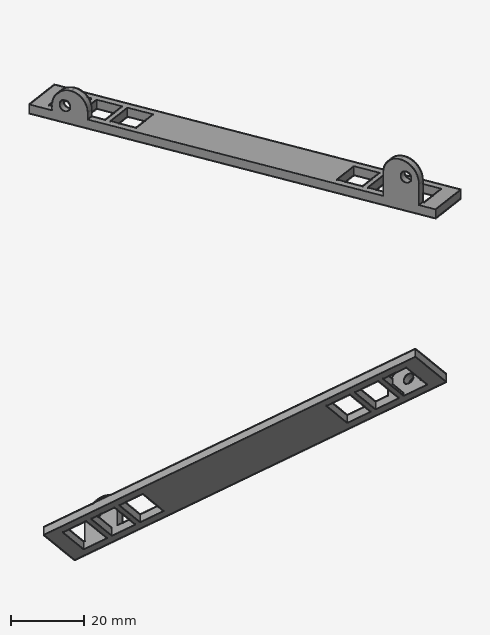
import cadquery as cq

length = 128.0
width = 14.0
plate_thickness = 2.8

window_count = 3
window_length = 8.0
window_pitch = 9.7
window_end_margin = 4.9
window_side_margin = 2.3
window_width = width - 2 * window_side_margin

lug_thickness = 2.3
outer_radius = 6.0
inner_radius = 5.2
pin_hole_diameter = 3.3
pin_hole_offset = 1.9
pin_hole_depth_below_top = 5.0

left_lug_x = 13.2
left_lug_height = 10.2
right_lug_x = 116.7
right_lug_height = 15.4

clearance_radius = 4.6
clearance_depth = 4.9


def y_cylinder(x, z, radius, y_start, depth):
    """Cylinder along +Y starting at y_start."""
    return cq.Workplane("XZ", origin=(x, y_start, z)).circle(radius).extrude(-depth)


def make_lug(apex_x, height, outward):
    """Lug with its wider rounded corner towards outward (-1 is -X, +1 is +X)."""
    outer_x = apex_x + outward * outer_radius
    inner_x = apex_x - outward * inner_radius
    lug = (
        cq.Workplane("XZ")
        .moveTo(outer_x, 0)
        .lineTo(outer_x, height - outer_radius)
        .radiusArc((apex_x, height), -outward * outer_radius)
        .radiusArc((inner_x, height - inner_radius), -outward * inner_radius)
        .lineTo(inner_x, 0)
        .close()
        .extrude(-lug_thickness)
    )
    hole_x = apex_x + outward * pin_hole_offset
    hole_z = height - pin_hole_depth_below_top
    return lug.cut(y_cylinder(hole_x, hole_z, pin_hole_diameter / 2, 0, lug_thickness))


def make_window(x_start):
    """Through window with its left side at x_start."""
    window = cq.Workplane("XY").box(window_length, window_width, plate_thickness, centered=False)
    return window.translate((x_start, window_side_margin, 0))


result = cq.Workplane("XY").box(length, width, plate_thickness, centered=False)
result = result.union(make_lug(left_lug_x, left_lug_height, -1))
result = result.union(make_lug(right_lug_x, right_lug_height, 1))

for index in range(window_count):
    left_start = window_end_margin + index * window_pitch
    right_start = length - left_start - window_length
    result = result.cut(make_window(left_start)).cut(make_window(right_start))

clearance = y_cylinder(
    left_lug_x - pin_hole_offset,
    left_lug_height - pin_hole_depth_below_top,
    clearance_radius,
    lug_thickness,
    clearance_depth,
)
result = result.cut(clearance)